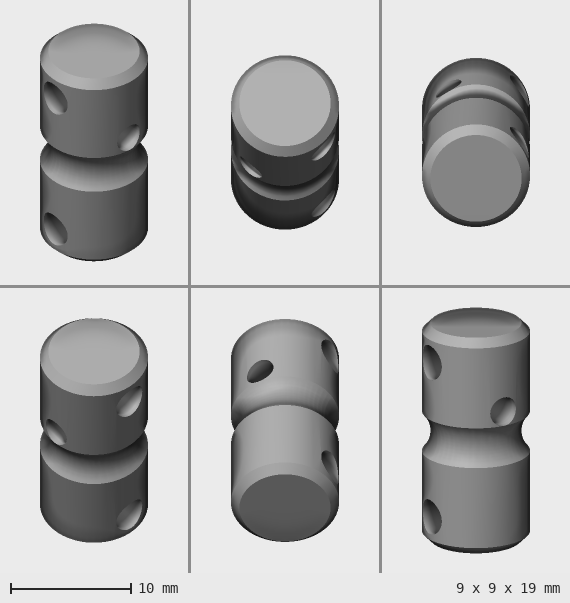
import cadquery as cq
import math

pin_diameter = 9.0
pin_length = 19.0
end_chamfer = 0.7

groove_width = 3.5
groove_radius = 2.5

end_hole_diameter = 3.0
end_hole_inset = 2.7

side_hole_diameter = 2.5

pin_radius = pin_diameter / 2
half_length = pin_length / 2
groove_depth = groove_radius - math.sqrt(groove_radius**2 - (groove_width / 2) ** 2)
neck_radius = pin_radius - groove_depth
end_hole_height = half_length - end_hole_inset
side_hole_height = groove_width / 2 + side_hole_diameter / 2


def turned_body():
    """Chamfered pin with the rounded groove, revolved about Z."""
    end_radius = pin_radius - end_chamfer
    shoulder = half_length - end_chamfer
    half_groove = groove_width / 2
    profile = (
        cq.Workplane("XZ")
        .moveTo(0, -half_length)
        .lineTo(end_radius, -half_length)
        .lineTo(pin_radius, -shoulder)
        .lineTo(pin_radius, -half_groove)
        .threePointArc((neck_radius, 0), (pin_radius, half_groove))
        .lineTo(pin_radius, shoulder)
        .lineTo(end_radius, half_length)
        .lineTo(0, half_length)
        .close()
    )
    return profile.revolve(360, (0, 0, 0), (0, 1, 0))


def cross_hole(plane, diameter, height):
    """Cylinder through the pin axis, normal to the given plane."""
    return (
        cq.Workplane(plane)
        .center(0, height)
        .circle(diameter / 2)
        .extrude(pin_diameter, both=True)
    )


result = turned_body()
for hole_height in (-end_hole_height, end_hole_height):
    result = result.cut(cross_hole("XZ", end_hole_diameter, hole_height))
result = result.cut(cross_hole("YZ", side_hole_diameter, side_hole_height))